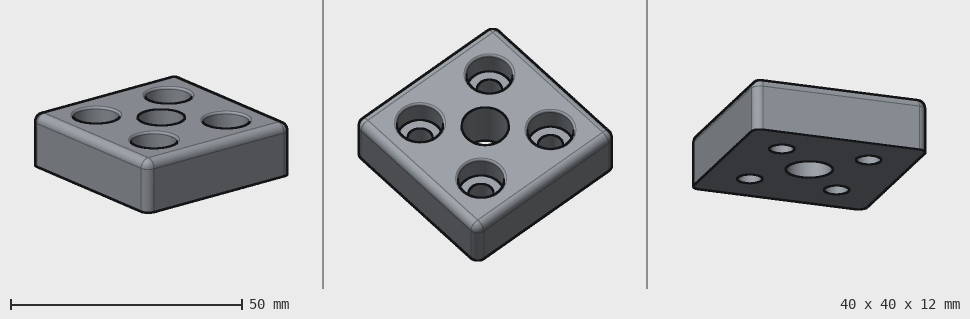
import cadquery as cq

side = 40.0
height = 12.0
edge_radius = 2.0

center_hole_diameter = 10.2

screw_spacing = side / 2
screw_hole_diameter = 5.5
bore_diameter = 10.0
bore_rim_diameter = 11.0
bore_depth = 5.6
bore_rim_radius = (bore_rim_diameter - bore_diameter) / 2


def rounded_block():
    """Square block standing on Z = 0 with rounded upright and top edges."""
    block = cq.Workplane("XY").box(side, side, height, centered=(True, True, False))
    return block.edges("|Z").fillet(edge_radius).faces(">Z").edges().fillet(edge_radius)


def screw_hole_cutter():
    """Stepped profile turned about Z: clearance hole, counterbore and rounded rim."""
    bore_floor = height - bore_depth
    return (
        cq.Workplane("XZ")
        .lineTo(screw_hole_diameter / 2, 0)
        .lineTo(screw_hole_diameter / 2, bore_floor)
        .lineTo(bore_diameter / 2, bore_floor)
        .lineTo(bore_diameter / 2, height - bore_rim_radius)
        .tangentArcPoint((bore_rim_diameter / 2, height), relative=False)
        .lineTo(0, height)
        .close()
        .revolve(360, (0, 0), (0, 1))
    )


result = rounded_block()
result = result.cut(cq.Workplane("XY").circle(center_hole_diameter / 2).extrude(height))

for x_side in (-1, 1):
    for y_side in (-1, 1):
        position = (x_side * screw_spacing / 2, y_side * screw_spacing / 2, 0)
        result = result.cut(screw_hole_cutter().translate(position))